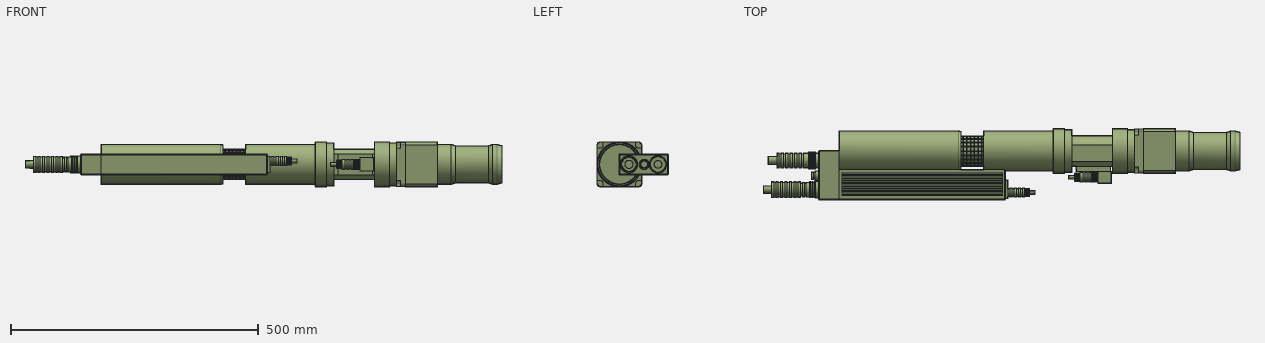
import cadquery as cq

total_length = 962.0

tube_radius = 40.0
rear_tube_start = 153.0
rear_tube_end = 399.0
rear_lip_length = 6.0
rear_lip_drop = 1.0
front_tube_start = 444.0
flange_radius = 45.0
flange_chamfer = 2.0
shoulder_radius = 43.0
rear_flange_start = 584.0
rear_flange_end = 608.0
rear_shoulder_end = 622.0
front_flange_start = 704.0
front_flange_end = 735.0
block_start = 748.0
block_end = 831.0

neck_radius = 31.0
knurl_depth = 2.0
knurl_width = 1.0
ring_groove_count = 6
axial_groove_count = 20

drive_half = 31.0
drive_flat_half = 21.0
drive_round_start = 12.5
pad_start = 631.0
pad_end = 700.0
pad_face_y = -41.0

block_half = flange_radius
block_chamfer = 6.0
front_plate_length = 18.0
front_plate_inset = 0.5
front_plate_fillet = 5.0
notch_depth = 9.0
notch_size = 12.5
notch_fillet = 6.0

nose_radius = 37.5
nose_step_start = 859.0
nose_step_end = 867.0
rim_rise_start = 934.0
rim_start = 942.0
rim_end = 951.0

case_half_height = 21.0
case_front_y = -99.0
case_back_y = -37.5
case_end = 489.0
cap_start = 112.0
cap_back_y = 1.0
case_edge_chamfer = 2.0
fin_slot_count = 9
fin_slot_width = 3.0
fin_slot_depth = 3.0
fin_field_back_y = -43.0
fin_field_front_y = -91.0
fin_margin = 6.0

button_start = 97.0
button_y = -50.0
button_rim_end = 101.0
button_neck_end = 105.0
button_rim_diameter = 15.0
button_neck_diameter = 13.0
button_base_diameter = 20.0

back_plug_y = -19.0
back_cable_start = 10.0
back_cable_end = 28.0
back_grip_start = 32.0
back_grip_end = 86.0
back_collar_start = 89.0
back_collar_end = 106.0
back_cable_diameter = 16.0
back_grip_diameter = 30.0
back_groove_diameter = 27.0
back_collar_diameter = 35.0
back_grip_ribs = 6
back_collar_ribs = 4

front_plug_y = -78.0
front_cable_end = 16.0
front_grip_start = 21.0
front_grip_end = 75.0
front_waist_end = 90.0
front_sleeve_end = 106.0
front_cable_diameter = 15.0
front_grip_diameter = 33.0
front_groove_diameter = 30.0
front_waist_diameter = 26.0
front_flange_diameter = 35.0
front_grip_ribs = 6
front_waist_ribs = 2
front_sleeve_ribs = 3

outlet_y = -84.0
outlet_z = 7.0
outlet_plate_length = 5.0
outlet_plate_back_y = -59.0
outlet_plate_front_y = -96.0
outlet_plate_half_height = 16.0
outlet_grip_end = 527.0
outlet_sleeve_end = 537.0
outlet_cable_end = 548.0
outlet_grip_diameter = 18.0
outlet_groove_diameter = 15.0
outlet_sleeve_groove_diameter = 13.0
outlet_grip_ribs = 4
outlet_sleeve_ribs = 3

side_plug_y = -53.0
side_cable_start = 615.5
side_cable_end = 627.0
side_sleeve_end = 639.0
side_grip_start = 644.0
side_nut_start = 661.0
elbow_start = 675.0
elbow_end = 702.0
elbow_front_y = -65.0
elbow_half_height = 13.0
side_grip_diameter = 20.0
side_groove_diameter = 17.0
side_sleeve_groove_diameter = 14.0
side_sleeve_ribs = 3
side_grip_ribs = 2
side_nut_ribs = 4

thin_cable_diameter = 8.0


def turned(profile, y=0.0, z=0.0):
    """Solid of revolution about a line parallel to X, from (x, radius) points."""
    first_x = profile[0][0]
    last_x = profile[-1][0]
    outline = [(first_x, 0.0)] + profile + [(last_x, 0.0)]
    solid = cq.Workplane("XY").polyline(outline).close().revolve(360, (0, 0, 0), (1, 0, 0))
    return solid.translate((0, y, z))


def stepped(start, steps, y=0.0, z=0.0):
    """Turned bar made of successive (end x, diameter) steps; equal neighbours share one point."""
    profile = []
    x = start
    for end, diameter in steps:
        for point in ((x, diameter / 2), (end, diameter / 2)):
            if point not in profile:
                profile.append(point)
        x = end
    return turned(profile, y, z)


def block(x_range, y_range, z_range):
    """Box between two limits along each axis."""
    size = [high - low for low, high in (x_range, y_range, z_range)]
    corner = (x_range[0], y_range[0], z_range[0])
    return cq.Workplane("XY").box(*size, centered=False).translate(corner)


def rear_tube():
    lip_start = rear_tube_end - rear_lip_length
    return turned([
        (rear_tube_start, tube_radius),
        (lip_start, tube_radius),
        (rear_tube_end, tube_radius - rear_lip_drop),
    ])


def knurled_neck():
    length = front_tube_start - rear_tube_end
    floor_radius = neck_radius - knurl_depth
    neck = turned([(rear_tube_end, neck_radius), (front_tube_start, neck_radius)])
    pitch = length / ring_groove_count
    for i in range(ring_groove_count):
        middle = rear_tube_end + (i + 0.5) * pitch
        start = middle - knurl_width / 2
        end = middle + knurl_width / 2
        outer = turned([(start, neck_radius + knurl_depth), (end, neck_radius + knurl_depth)])
        core = turned([(start, floor_radius), (end, floor_radius)])
        neck = neck.cut(outer.cut(core))
    slot = block(
        (rear_tube_end, front_tube_start),
        (-knurl_width / 2, knurl_width / 2),
        (floor_radius, neck_radius + knurl_depth),
    )
    for i in range(axial_groove_count):
        angle = 360 * i / axial_groove_count
        neck = neck.cut(slot.rotate((0, 0, 0), (1, 0, 0), angle))
    return neck


def front_tube():
    return turned([
        (front_tube_start, tube_radius),
        (rear_flange_start, tube_radius),
        (rear_flange_start, flange_radius - flange_chamfer),
        (rear_flange_start + flange_chamfer, flange_radius),
        (rear_flange_end, flange_radius),
        (rear_flange_end, shoulder_radius),
        (rear_shoulder_end, shoulder_radius),
    ])


def drive_section():
    length = front_flange_start - rear_shoulder_end
    body = (
        cq.Workplane("YZ", origin=(rear_shoulder_end, 0, 0))
        .moveTo(drive_round_start, drive_half)
        .lineTo(-drive_flat_half, drive_half)
        .lineTo(-drive_half, drive_flat_half)
        .lineTo(-drive_half, -drive_flat_half)
        .lineTo(-drive_flat_half, -drive_half)
        .lineTo(drive_round_start, -drive_half)
        .threePointArc((drive_half, 0), (drive_round_start, drive_half))
        .close()
        .extrude(length)
    )
    pad = block(
        (pad_start, pad_end), (pad_face_y, -drive_half), (-drive_flat_half, drive_flat_half)
    )
    return body.union(pad)


def square_block():
    plate_end = block_start + front_plate_length
    limits = (-block_half, block_half)
    body = block((plate_end, block_end), limits, limits).edges("|X").chamfer(block_chamfer)
    plate_half = block_half - front_plate_inset
    limits = (-plate_half, plate_half)
    plate = block((block_start, plate_end), limits, limits).edges("|X").fillet(front_plate_fillet)
    notch_inner = block_half - notch_size
    notch_limits = (notch_inner, notch_inner + 2 * notch_size)
    notch = block((block_start, block_start + notch_depth), notch_limits, notch_limits)
    notch = notch.edges("|X").fillet(notch_fillet)
    for i in range(4):
        plate = plate.cut(notch.rotate((0, 0, 0), (1, 0, 0), 90 * i))
    return body.union(plate)


def front_flange():
    return turned([
        (front_flange_start, flange_radius),
        (front_flange_end, flange_radius),
        (front_flange_end, shoulder_radius),
        (block_start, shoulder_radius),
    ])


def nose():
    return turned([
        (block_end, tube_radius),
        (nose_step_start, tube_radius),
        (nose_step_end, nose_radius),
        (rim_rise_start, nose_radius),
        (rim_start, tube_radius),
        (rim_end, tube_radius),
        (total_length, nose_radius),
    ])


def optical_train():
    train = rear_tube()
    sections = [
        knurled_neck(),
        front_tube(),
        drive_section(),
        front_flange(),
        square_block(),
        nose(),
    ]
    for section in sections:
        train = train.union(section)
    return train


def finned_case():
    heights = (-case_half_height, case_half_height)
    case = block((rear_tube_start, case_end), (case_front_y, case_back_y), heights)
    case = case.faces("<Y").edges("|X").chamfer(case_edge_chamfer)
    case = case.faces(">X").edges().chamfer(case_edge_chamfer)
    case = case.cut(turned([(rear_tube_start, tube_radius), (case_end, tube_radius)]))
    pitch = (fin_field_back_y - fin_field_front_y) / fin_slot_count
    lengths = (rear_tube_start + fin_margin, case_end - fin_margin)
    floor = case_half_height - fin_slot_depth
    for i in range(fin_slot_count):
        middle = fin_field_front_y + (i + 0.5) * pitch
        widths = (middle - fin_slot_width / 2, middle + fin_slot_width / 2)
        case = case.cut(block(lengths, widths, (floor, case_half_height)))
        case = case.cut(block(lengths, widths, (-case_half_height, -floor)))
    return case


def end_cap():
    heights = (-case_half_height, case_half_height)
    cap = block((cap_start, rear_tube_start), (case_front_y, cap_back_y), heights)
    cap = cap.faces("<Y").edges("|X").chamfer(case_edge_chamfer)
    cap = cap.faces("<X").edges().chamfer(case_edge_chamfer)
    button_steps = [
        (button_rim_end, button_rim_diameter),
        (button_neck_end, button_neck_diameter),
        (cap_start, button_base_diameter),
    ]
    button = stepped(button_start, button_steps, button_y)
    return cap.union(button)


def ribs(start, end, count, outer, inner):
    """Steps that alternate between an outer and an inner diameter, starting with the inner one."""
    step = (end - start) / (2 * count)
    steps = []
    for i in range(count):
        steps.append((start + (2 * i + 1) * step, inner))
        steps.append((start + (2 * i + 2) * step, outer))
    return steps


def back_plug():
    steps = [(back_cable_end, back_cable_diameter), (back_grip_start, back_grip_diameter)]
    steps += ribs(
        back_grip_start, back_grip_end, back_grip_ribs, back_grip_diameter, back_groove_diameter
    )
    steps.append((back_collar_start, back_grip_diameter))
    steps += ribs(
        back_collar_start, back_collar_end, back_collar_ribs, back_collar_diameter, back_grip_diameter
    )
    steps.append((cap_start, back_grip_diameter))
    return stepped(back_cable_start, steps, back_plug_y)


def front_plug():
    steps = [(front_cable_end, front_cable_diameter), (front_grip_start, front_grip_diameter)]
    steps += ribs(
        front_grip_start, front_grip_end, front_grip_ribs, front_grip_diameter, front_groove_diameter
    )
    steps += ribs(
        front_grip_end, front_waist_end, front_waist_ribs, front_groove_diameter, front_waist_diameter
    )
    steps += ribs(
        front_waist_end, front_sleeve_end, front_sleeve_ribs, front_grip_diameter, front_groove_diameter
    )
    steps.append((cap_start, front_flange_diameter))
    return stepped(0.0, steps, front_plug_y)


def outlet():
    plate_end = case_end + outlet_plate_length
    plate = block(
        (case_end, plate_end),
        (outlet_plate_front_y, outlet_plate_back_y),
        (-outlet_plate_half_height, outlet_plate_half_height),
    )
    steps = ribs(
        plate_end, outlet_grip_end, outlet_grip_ribs, outlet_grip_diameter, outlet_groove_diameter
    )
    steps += ribs(
        outlet_grip_end,
        outlet_sleeve_end,
        outlet_sleeve_ribs,
        outlet_groove_diameter,
        outlet_sleeve_groove_diameter,
    )
    steps.append((outlet_cable_end, thin_cable_diameter))
    return plate.union(stepped(plate_end, steps, outlet_y, outlet_z))


def side_plug():
    elbow = block(
        (elbow_start, elbow_end),
        (elbow_front_y, pad_face_y),
        (-elbow_half_height, elbow_half_height),
    )
    steps = [(side_cable_end, thin_cable_diameter)]
    steps += ribs(
        side_cable_end,
        side_sleeve_end,
        side_sleeve_ribs,
        side_groove_diameter,
        side_sleeve_groove_diameter,
    )
    steps.append((side_grip_start, side_grip_diameter))
    steps += ribs(
        side_grip_start, side_nut_start, side_grip_ribs, side_grip_diameter, side_groove_diameter
    )
    steps += ribs(
        side_nut_start, elbow_start, side_nut_ribs, side_grip_diameter, side_groove_diameter
    )
    return elbow.union(stepped(side_cable_start, steps, side_plug_y))


bodies = [
    optical_train(),
    finned_case(),
    end_cap(),
    back_plug(),
    front_plug(),
    outlet(),
    side_plug(),
]
result = cq.Compound.makeCompound([body.val() for body in bodies])